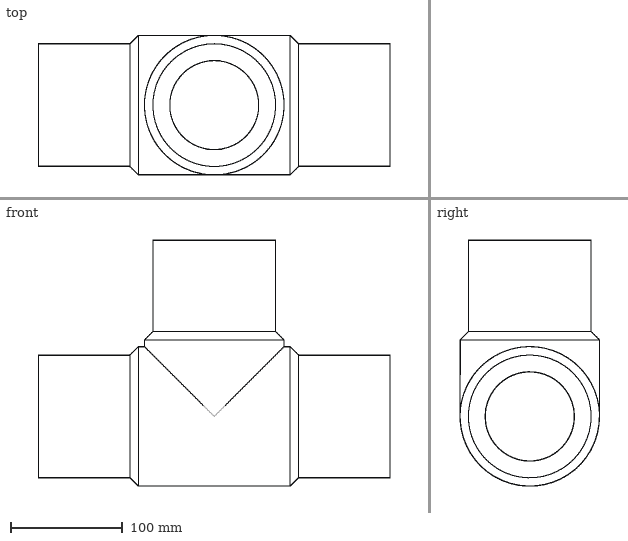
import cadquery as cq

run_length = 315.0
overall_height = 220.5
spigot_length = 82.0
pipe_diameter = 110.0
body_diameter = 125.0
bore_diameter = 79.7

run_arm_length = run_length / 2
branch_arm_length = overall_height - body_diameter / 2

body_chamfer = (body_diameter - pipe_diameter) / 2


def arm_plane(direction):
    """Plane through the tee centre, facing along direction."""
    return cq.Workplane(cq.Plane(origin=(0, 0, 0), xDir=(0, 1, 0), normal=direction))


def make_arm(direction, arm_length):
    """Pipe end and chamfered thick body, from the tee centre along direction."""
    body = (
        arm_plane(direction)
        .circle(body_diameter / 2)
        .extrude(arm_length - spigot_length)
        .faces(cq.selectors.DirectionMinMaxSelector(cq.Vector(*direction)))
        .chamfer(body_chamfer)
    )
    pipe = arm_plane(direction).circle(pipe_diameter / 2).extrude(arm_length)
    return body.union(pipe)


def make_bore(direction, arm_length, both_ways=False):
    """Bore from the tee centre to the open end of one arm, or of two opposite arms."""
    return arm_plane(direction).circle(bore_diameter / 2).extrude(arm_length, both=both_ways)


run = make_arm((1, 0, 0), run_arm_length).union(make_arm((-1, 0, 0), run_arm_length))
outside = run.union(make_arm((0, 0, 1), branch_arm_length))

run_bore = make_bore((1, 0, 0), run_arm_length, both_ways=True)
branch_bore = make_bore((0, 0, 1), branch_arm_length)

result = outside.cut(run_bore).cut(branch_bore)